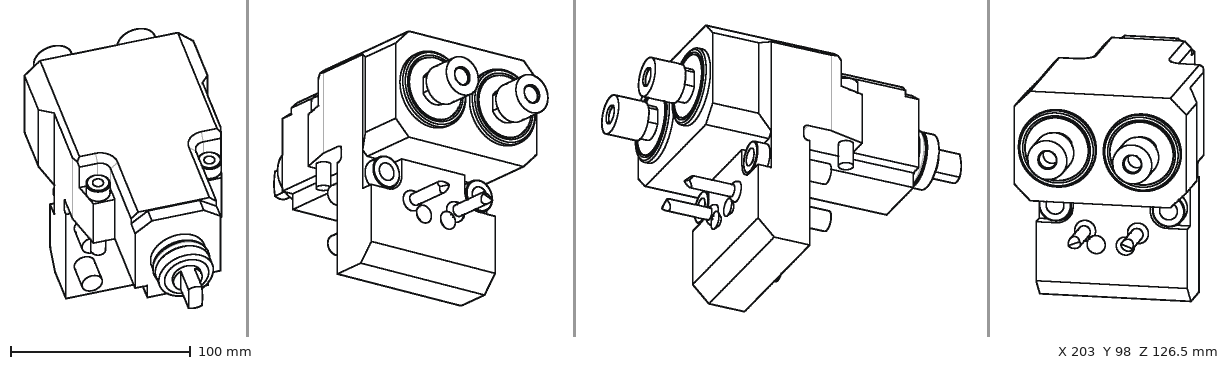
import cadquery as cq
import math


TOTAL_LENGTH = 203.0

HEAD_FRONT = 28.8
HEAD_WIDTH = 98.0
HEAD_HALF_WIDTH = HEAD_WIDTH / 2
HEAD_TOP = 31.7
HEAD_BOTTOM = -31.3
HEAD_CHAMFER = 9.1
HEAD_TAPER_START = 57.0
BODY_START = 67.6
BODY_HALF_WIDTH = 43.0
BODY_TAPER_START = 104.4
BODY_END = 126.3
BODY_END_HALF_WIDTH = 37.2

NECK_HALF_WIDTH = 24.8
NECK_END = 158.8
NECK_BOTTOM = -28.6
NECK_EDGE_CHAMFER = 4.0
PLATE_END = 167.0
PLATE_TOP = 31.0
PLATE_CHAMFER_WIDTH = 9.7
PLATE_CHAMFER_HEIGHT = 7.3

LEDGE_TOP = 11.5
RECESS_FRONT = 111.7
RECESS_CORNER_RADIUS = 5.9

UNDERCUT_FRONT = 87.7
UNDERCUT_TOP = -19.3
UNDERCUT_HALF_WIDTH = 17.7
UNDERCUT_CORNER_RADIUS = 2.5

LEG_FRONT = 59.5
LEG_BACK = 91.4
LEG_BOTTOM = -94.8
LEG_CHAMFER = 10.0
POCKET_INNER_Y = 22.0
POCKET_BOTTOM = -51.0
POCKET_CORNER_RADIUS = 9.7

SPINDLE_Y = 24.2
NOSE_RADIUS = 11.2
NOSE_LENGTH = 18.7
NOSE_MOUTH_RADIUS = 5.3
NOSE_MOUTH_DEPTH = 1.5
NOSE_BORE_RADIUS = 4.9
NOSE_BORE_DEPTH = 12.2
SPINDLE_NECK_DIAMETER = 19.3
SPINDLE_NECK_RADIUS = SPINDLE_NECK_DIAMETER / 2
WRENCH_FLAT_START = 19.0
WRENCH_FLAT_HALF_WIDTH = 8.5
COVER_FRONT = 25.2
COVER_RADIUS = 22.0
COVER_CHAMFER = 1.0
COVER_GROOVE_OUTER = 19.3
COVER_GROOVE_INNER = 18.0
COVER_GROOVE_DEPTH = 1.2

SHANK_RADIUS = 15.8
SHANK_END = 184.6
SHANK_CHAMFER_LENGTH = 1.0
SHANK_CHAMFER_DEPTH = 3.0
SEAL_CENTER = 173.9
SEAL_RADIUS = 2.0
SEAL_CREST_RADIUS = 16.5
SHANK_GROOVE_START = 171.8
SHANK_GROOVE_END = 176.5
SHANK_GROOVE_RADIUS = 14.6
TANG_RADIUS = 8.3
TANG_HUB_END = 186.9
TANG_THICKNESS = 8.0
TANG_HALF_THICKNESS = TANG_THICKNESS / 2
TANG_DOME_RADIUS = 28.5

CLAMP_X = 118.6
CLAMP_Y = 32.3
CLAMP_HEAD_RADIUS = 6.7
CLAMP_HEAD_CHAMFER = 0.6
CLAMP_HEAD_TOP = 19.5
CLAMP_SOCKET_RADIUS = 3.0
CLAMP_SOCKET_DEPTH = 1.8
CLAMP_SHANK_DIAMETER = 8.3
CLAMP_SHANK_RADIUS = CLAMP_SHANK_DIAMETER / 2
CLAMP_SHANK_BOTTOM = -33.3

MOUNT_Y = 32.3
MOUNT_UPPER_Z = -41.0
MOUNT_LOWER_Z = -70.9
MOUNT_SHANK_RADIUS = 5.9
MOUNT_SHANK_END = 106.8
MOUNT_HEAD_RADIUS = 9.1
MOUNT_HEAD_FRONT = 59.7
MOUNT_HEAD_CHAMFER = 0.5
MOUNT_SOCKET_RADIUS = 5.0
MOUNT_SOCKET_DEPTH = 3.0

PIPE_Y = 15.0
PIPE_Z = -54.6
PIPE_RADIUS = 3.5
PIPE_TIP_LENGTH = 3.0
PIPE_TIP_ANGLE = -21.0
COLLAR_FRONT = 56.7
COLLAR_RADIUS = 5.9
FLAT_SCREW_Y = 8.3
FLAT_SCREW_Z = -61.7
FLAT_SCREW_FRONT = 57.0
FLAT_SCREW_DIAMETER = 10.4
FLAT_SCREW_RADIUS = FLAT_SCREW_DIAMETER / 2
FLAT_SCREW_BASE_RADIUS = 2.8

OVERCUT = 20.3
EMBED = 2.0


def block(x_range, y_range, z_range):
    """Box spanning the given low and high limits."""
    size = [high - low for low, high in (x_range, y_range, z_range)]
    corner = (x_range[0], y_range[0], z_range[0])
    return cq.Workplane("XY").box(*size, centered=False).translate(corner)


def rod(x_start, x_end, radius, y=0.0, z=0.0):
    """Cylinder along X."""
    plane = cq.Workplane("YZ", origin=(x_start, y, z))
    return plane.circle(radius).extrude(x_end - x_start)


def turned(profile, y=0.0, z=0.0):
    """Solid turned about X from (x, radius) points, closed along the axis."""
    points = [(profile[0][0], 0), *profile, (profile[-1][0], 0)]
    solid = cq.Workplane("XY").polyline(points).close().revolve(360, (0, 0, 0), (1, 0, 0))
    return solid.translate((0, y, z))


def conical_socket(center, direction, radius, depth):
    """Cone cutting into a screw head from the given center of its face."""
    cone = cq.Solid.makeCone(radius, 0, depth, cq.Vector(*center), cq.Vector(*direction))
    return cq.Workplane(cone)


def both_sides(solid):
    """The solid together with its mirror image across Y = 0."""
    return solid.union(solid.mirror("XZ"))


def make_housing():
    """Octagonal prism trimmed to the stepped and tapered plan outline."""
    prism = block(
        (HEAD_FRONT, BODY_END),
        (-HEAD_HALF_WIDTH, HEAD_HALF_WIDTH),
        (HEAD_BOTTOM, HEAD_TOP),
    ).edges("|X").chamfer(HEAD_CHAMFER)
    half_plan = [
        (HEAD_FRONT, HEAD_HALF_WIDTH),
        (HEAD_TAPER_START, HEAD_HALF_WIDTH),
        (BODY_START, BODY_HALF_WIDTH),
        (BODY_TAPER_START, BODY_HALF_WIDTH),
        (BODY_END, BODY_END_HALF_WIDTH),
    ]
    other_half = [(x, -y) for x, y in reversed(half_plan)]
    plan = cq.Workplane("XY", origin=(0, 0, HEAD_BOTTOM)).polyline(half_plan + other_half).close()
    housing = prism.intersect(plan.extrude(HEAD_TOP - HEAD_BOTTOM))
    behind_leg = block(
        (LEG_BACK, BODY_END + OVERCUT),
        (-HEAD_HALF_WIDTH, HEAD_HALF_WIDTH),
        (NECK_BOTTOM - OVERCUT, NECK_BOTTOM),
    )
    return housing.cut(behind_leg)


def make_leg():
    """Mounting leg with a chamfered toe and two corner pockets for screw heads."""
    leg = block(
        (LEG_FRONT, LEG_BACK),
        (-BODY_HALF_WIDTH, BODY_HALF_WIDTH),
        (LEG_BOTTOM, UNDERCUT_TOP),
    ).edges("<X and <Z").chamfer(LEG_CHAMFER)
    pocket = block(
        (LEG_FRONT - OVERCUT, BODY_START),
        (POCKET_INNER_Y, BODY_HALF_WIDTH + OVERCUT),
        (POCKET_BOTTOM, UNDERCUT_TOP + OVERCUT),
    ).edges("|X and <Y and <Z").fillet(POCKET_CORNER_RADIUS)
    return leg.cut(both_sides(pocket))


def make_neck():
    """Plain neck running from the housing to the end plate."""
    return block(
        (BODY_START, NECK_END), (-NECK_HALF_WIDTH, NECK_HALF_WIDTH), (NECK_BOTTOM, HEAD_TOP)
    )


def make_corner_recess():
    """Cutter for one corner recess, flaring out at the top to chamfer its rim."""
    flare_start = HEAD_TOP - NECK_EDGE_CHAMFER
    recess = block(
        (RECESS_FRONT, NECK_END + OVERCUT),
        (NECK_HALF_WIDTH, HEAD_HALF_WIDTH + OVERCUT),
        (LEDGE_TOP, flare_start),
    ).edges("|Z and <X and <Y").fillet(RECESS_CORNER_RADIUS)
    flare = recess.faces(">Z").wires().toPending().extrude(
        NECK_EDGE_CHAMFER, taper=-45, combine=False
    )
    return recess.union(flare)


def make_end_plate():
    """Plate at the back of the neck, with its top corners cut off."""
    shoulder_y = NECK_HALF_WIDTH - PLATE_CHAMFER_WIDTH
    shoulder_z = PLATE_TOP - PLATE_CHAMFER_HEIGHT
    outline = [
        (-NECK_HALF_WIDTH, NECK_BOTTOM),
        (NECK_HALF_WIDTH, NECK_BOTTOM),
        (NECK_HALF_WIDTH, shoulder_z),
        (shoulder_y, PLATE_TOP),
        (-shoulder_y, PLATE_TOP),
        (-NECK_HALF_WIDTH, shoulder_z),
    ]
    plane = cq.Workplane("YZ", origin=(NECK_END, 0, 0))
    return plane.polyline(outline).close().extrude(PLATE_END - NECK_END)


def make_undercut():
    """Cutter narrowing the bottom of the housing, neck and plate on one side."""
    return block(
        (UNDERCUT_FRONT, PLATE_END + OVERCUT),
        (UNDERCUT_HALF_WIDTH, HEAD_HALF_WIDTH + OVERCUT),
        (NECK_BOTTOM, UNDERCUT_TOP),
    ).edges("|Y and <X").fillet(UNDERCUT_CORNER_RADIUS)


def make_spindle():
    """Cover ring, flatted neck and bored nose of one spindle."""
    cover = turned(
        [
            (COVER_FRONT, COVER_GROOVE_INNER),
            (COVER_FRONT + COVER_GROOVE_DEPTH, COVER_GROOVE_INNER),
            (COVER_FRONT, COVER_GROOVE_OUTER),
            (COVER_FRONT, COVER_RADIUS - COVER_CHAMFER),
            (COVER_FRONT + COVER_CHAMFER, COVER_RADIUS),
            (HEAD_FRONT + EMBED, COVER_RADIUS),
        ]
    )
    neck = rod(NOSE_LENGTH, COVER_FRONT + EMBED, SPINDLE_NECK_RADIUS)
    flat = block(
        (WRENCH_FLAT_START, COVER_FRONT),
        (WRENCH_FLAT_HALF_WIDTH, WRENCH_FLAT_HALF_WIDTH + OVERCUT),
        (-NOSE_RADIUS, NOSE_RADIUS),
    )
    nose = rod(0, NOSE_LENGTH, NOSE_RADIUS)
    nose = nose.cut(rod(0, NOSE_BORE_DEPTH, NOSE_BORE_RADIUS))
    nose = nose.cut(rod(0, NOSE_MOUTH_DEPTH, NOSE_MOUTH_RADIUS))
    spindle = neck.cut(both_sides(flat)).union(cover).union(nose)
    return spindle.translate((0, SPINDLE_Y, 0))


def make_drive():
    """Sealed round shank ending in a flat drive tang with a domed tip."""
    shank = turned(
        [
            (PLATE_END - EMBED, SHANK_RADIUS),
            (SHANK_GROOVE_START, SHANK_RADIUS),
            (SHANK_GROOVE_START, SHANK_GROOVE_RADIUS),
            (SHANK_GROOVE_END, SHANK_GROOVE_RADIUS),
            (SHANK_GROOVE_END, SHANK_RADIUS),
            (SHANK_END - SHANK_CHAMFER_LENGTH, SHANK_RADIUS),
            (SHANK_END, SHANK_RADIUS - SHANK_CHAMFER_DEPTH),
        ]
    )
    seal = cq.Solid.makeTorus(
        SEAL_CREST_RADIUS - SEAL_RADIUS,
        SEAL_RADIUS,
        cq.Vector(SEAL_CENTER, 0, 0),
        cq.Vector(1, 0, 0),
    )
    hub = rod(SHANK_END - EMBED, TANG_HUB_END, TANG_RADIUS)
    slab = block(
        (TANG_HUB_END - EMBED, TOTAL_LENGTH),
        (-TANG_HALF_THICKNESS, TANG_HALF_THICKNESS),
        (-TANG_RADIUS, TANG_RADIUS),
    )
    tang = rod(TANG_HUB_END - EMBED, TOTAL_LENGTH, TANG_RADIUS).intersect(slab)
    dome = cq.Workplane("XY").sphere(TANG_DOME_RADIUS).translate((TOTAL_LENGTH - TANG_DOME_RADIUS, 0, 0))
    tang = tang.intersect(dome)
    return shank.union(cq.Workplane(seal)).union(hub).union(tang)


def make_clamp_screw():
    """Vertical screw through one ledge, with a conical socket in its head."""
    plane = cq.Workplane("XY", origin=(CLAMP_X, CLAMP_Y, LEDGE_TOP))
    head_height = CLAMP_HEAD_TOP - LEDGE_TOP
    head = plane.circle(CLAMP_HEAD_RADIUS).extrude(head_height)
    head = head.faces(">Z").chamfer(CLAMP_HEAD_CHAMFER)
    socket = conical_socket(
        (CLAMP_X, CLAMP_Y, CLAMP_HEAD_TOP), (0, 0, -1), CLAMP_SOCKET_RADIUS, CLAMP_SOCKET_DEPTH
    )
    shank = plane.circle(CLAMP_SHANK_RADIUS).extrude(CLAMP_SHANK_BOTTOM - LEDGE_TOP)
    return head.cut(socket).union(shank)


def make_mount_screws():
    """Upper screw with its head in the leg pocket, and the lower screw end behind the leg."""
    head = turned(
        [
            (MOUNT_HEAD_FRONT, MOUNT_HEAD_RADIUS - MOUNT_HEAD_CHAMFER),
            (MOUNT_HEAD_FRONT + MOUNT_HEAD_CHAMFER, MOUNT_HEAD_RADIUS),
            (BODY_START + EMBED, MOUNT_HEAD_RADIUS),
        ],
        MOUNT_Y,
        MOUNT_UPPER_Z,
    )
    socket = conical_socket(
        (MOUNT_HEAD_FRONT, MOUNT_Y, MOUNT_UPPER_Z), (1, 0, 0), MOUNT_SOCKET_RADIUS, MOUNT_SOCKET_DEPTH
    )
    screws = head.cut(socket)
    for z in (MOUNT_UPPER_Z, MOUNT_LOWER_Z):
        screws = screws.union(rod(LEG_BACK - EMBED, MOUNT_SHANK_END, MOUNT_SHANK_RADIUS, MOUNT_Y, z))
    return screws


def make_coolant_pipe():
    """Pipe with a wedge-shaped tip, its rounded collar and the flat-headed screw beside it."""
    wedge_half_height = 2 * PIPE_RADIUS
    wedge_shoulder = HEAD_FRONT + 2 * PIPE_TIP_LENGTH
    pipe_end = LEG_FRONT + EMBED
    wedge_outline = [
        (HEAD_FRONT, 0),
        (wedge_shoulder, wedge_half_height),
        (pipe_end, wedge_half_height),
        (pipe_end, -wedge_half_height),
        (wedge_shoulder, -wedge_half_height),
    ]
    wedge = cq.Workplane("XZ").polyline(wedge_outline).close().extrude(wedge_half_height, both=True)
    wedge = wedge.rotate((0, 0, 0), (1, 0, 0), PIPE_TIP_ANGLE)
    pipe = rod(HEAD_FRONT, pipe_end, PIPE_RADIUS).intersect(wedge)

    bulge = math.sqrt(0.5)
    collar_arc_point = (
        LEG_FRONT - (LEG_FRONT - COLLAR_FRONT) * bulge,
        PIPE_RADIUS + (COLLAR_RADIUS - PIPE_RADIUS) * bulge,
    )
    collar = (
        cq.Workplane("XY")
        .moveTo(COLLAR_FRONT, 0)
        .lineTo(COLLAR_FRONT, PIPE_RADIUS)
        .threePointArc(collar_arc_point, (LEG_FRONT, COLLAR_RADIUS))
        .lineTo(LEG_FRONT + EMBED, COLLAR_RADIUS)
        .lineTo(LEG_FRONT + EMBED, 0)
        .close()
        .revolve(360, (0, 0, 0), (1, 0, 0))
    )
    flat_screw = turned(
        [
            (FLAT_SCREW_FRONT, FLAT_SCREW_RADIUS),
            (LEG_FRONT, FLAT_SCREW_BASE_RADIUS),
            (LEG_FRONT + EMBED, FLAT_SCREW_BASE_RADIUS),
        ],
        FLAT_SCREW_Y,
        FLAT_SCREW_Z,
    )
    return pipe.union(collar).translate((0, PIPE_Y, PIPE_Z)).union(flat_screw)


body = make_housing().union(make_leg()).union(make_neck())
body = body.cut(both_sides(make_corner_recess()))
body = body.union(make_end_plate())
body = body.cut(both_sides(make_undercut()))

for paired_part in (make_spindle(), make_clamp_screw(), make_mount_screws(), make_coolant_pipe()):
    body = body.union(both_sides(paired_part))

result = body.union(make_drive())